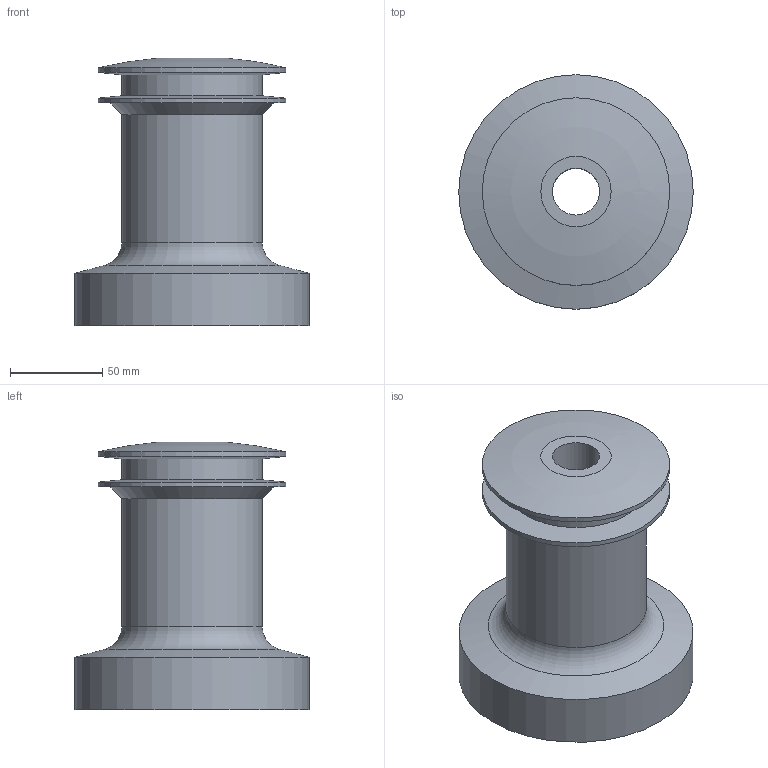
import cadquery as cq
import math


height = 144.78
base_radius = 127.0 / 2
flange_radius = 101.6 / 2
drum_radius = 76.2 / 2
bore_radius = 25.4 / 2
crown_flat_radius = 38.1 / 2

base_rim_height = 28.321
shoulder_angle = math.radians(15)
blend_radius = 12.7

flange_bottom = 120.65
flange_rim_thickness = 2.54
support_radius = 44.45

cap_rim_top = 139.7
cap_rim_thickness = 2.54

groove_wall_rise = 1.27


def make_profile():
    """Half section in the XZ plane: x is the radius, y is the height."""
    blend_center_r = drum_radius + blend_radius
    blend_foot_r = blend_center_r - blend_radius * math.sin(shoulder_angle)
    blend_foot_z = base_rim_height + (base_radius - blend_foot_r) * math.tan(shoulder_angle)
    blend_center_z = blend_foot_z + blend_radius * math.cos(shoulder_angle)
    blend_mid_angle = (math.pi / 2 - shoulder_angle) / 2
    blend_mid = (
        blend_center_r - blend_radius * math.cos(blend_mid_angle),
        blend_center_z - blend_radius * math.sin(blend_mid_angle),
    )

    support_bottom = flange_bottom - (support_radius - drum_radius)
    flange_rim_top = flange_bottom + flange_rim_thickness
    cap_rim_bottom = cap_rim_top - cap_rim_thickness

    dome_rise = height - cap_rim_top
    radii_difference = flange_radius**2 - crown_flat_radius**2
    dome_center_z = cap_rim_top - (radii_difference / dome_rise - dome_rise) / 2
    dome_radius = math.hypot(flange_radius, cap_rim_top - dome_center_z)
    dome_mid_r = (flange_radius + crown_flat_radius) / 2
    dome_mid_z = dome_center_z + math.sqrt(dome_radius**2 - dome_mid_r**2)

    return (
        cq.Workplane("XZ")
        .moveTo(bore_radius, 0)
        .lineTo(base_radius, 0)
        .lineTo(base_radius, base_rim_height)
        .lineTo(blend_foot_r, blend_foot_z)
        .threePointArc(blend_mid, (drum_radius, blend_center_z))
        .lineTo(drum_radius, support_bottom)
        .lineTo(support_radius, flange_bottom)
        .lineTo(flange_radius, flange_bottom)
        .lineTo(flange_radius, flange_rim_top)
        .lineTo(drum_radius, flange_rim_top + groove_wall_rise)
        .lineTo(drum_radius, cap_rim_bottom - groove_wall_rise)
        .lineTo(flange_radius, cap_rim_bottom)
        .lineTo(flange_radius, cap_rim_top)
        .threePointArc((dome_mid_r, dome_mid_z), (crown_flat_radius, height))
        .lineTo(bore_radius, height)
        .close()
    )


result = make_profile().revolve(360, (0, 0, 0), (0, 1, 0))